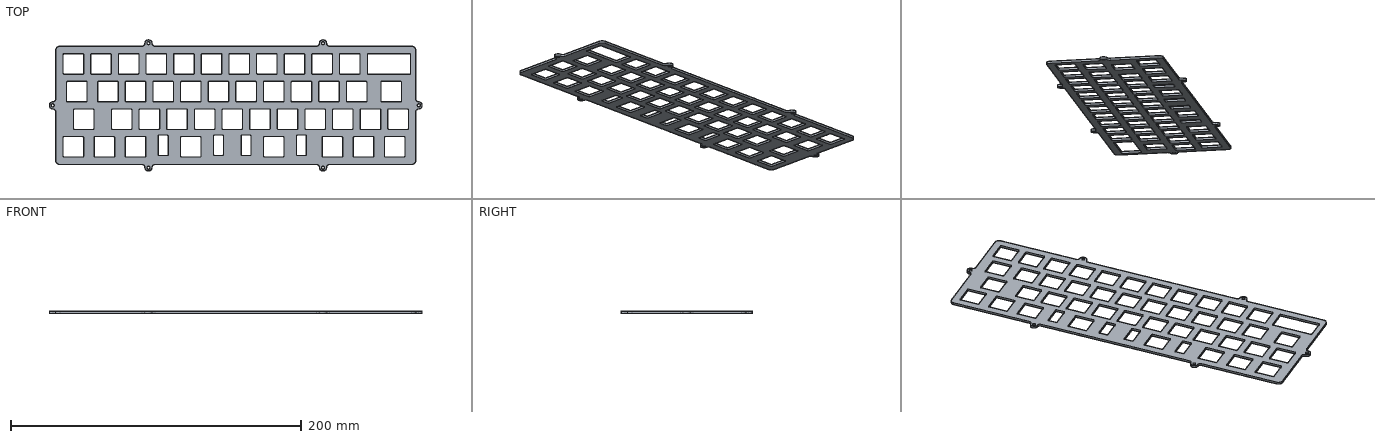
import cadquery as cq
import math

overall_length = 257.0
overall_width = 90.5
thickness = 1.6
tab_reach = 4.4
body_length = overall_length - 2 * tab_reach
body_width = overall_width - 2 * tab_reach
body_corner_radius = 3.0

tab_radius = 2.5
tab_root_radius = 1.8
tab_hole_diameter = 2.0
tab_hole_inset = 2.3
long_side_tab_offset = 60.2

key_pitch = 19.05
spacebar_width = 3
row_key_widths = [
    [1] * 11,
    [1.25] + [1] * 10 + [1.5],
    [1.75] + [1] * 11,
    [1, 1.25, 1, spacebar_width, spacebar_width, 1.25, 1, 1.25],
]
row_count = len(row_key_widths)
layout_length = sum(row_key_widths[-1]) * key_pitch

switch_opening = 14.0
opening_corner_radius = 0.5
end_opening_length = 29.5
end_opening_x = 105.7
stabilizer_opening_length = 6.7
stabilizer_opening_shift = 1.0
stabilizer_offset = key_pitch


def rim_points(inset):
    """Points on the six tab axes, at one distance in from the overall outline."""
    end_x = overall_length / 2 - inset
    side_y = overall_width / 2 - inset
    points = [(-end_x, 0), (end_x, 0)]
    for x in (-long_side_tab_offset, long_side_tab_offset):
        points += [(x, -side_y), (x, side_y)]
    return points


def tab_root_points():
    """Inner corners where the round tabs meet the straight sides of the body."""
    center_to_side = tab_reach - tab_radius
    half_chord = math.sqrt(tab_radius**2 - center_to_side**2)
    roots = []
    for x, y in rim_points(tab_reach):
        for offset in (-half_chord, half_chord):
            roots.append((x, offset) if y == 0 else (x + offset, y))
    return roots


def make_blank():
    """Rounded plate with screw tabs blended into its sides and drilled."""
    blank = cq.Workplane("XY").rect(body_length, body_width).extrude(thickness)
    blank = blank.edges("|Z").fillet(body_corner_radius)
    tabs = cq.Workplane("XY").pushPoints(rim_points(tab_radius)).circle(tab_radius).extrude(thickness)
    blank = blank.union(tabs)
    for x, y in tab_root_points():
        root_edge = cq.selectors.NearestToPointSelector((x, y, thickness / 2))
        blank = blank.edges("|Z").edges(root_edge).fillet(tab_root_radius)
    hole_points = rim_points(tab_hole_inset)
    holes = cq.Workplane("XY").pushPoints(hole_points).circle(tab_hole_diameter / 2).extrude(thickness)
    return blank.cut(holes)


def cut_opening(plate, x, y, length):
    """Cut a through opening of switch height with rounded corners."""
    cutter = cq.Workplane("XY").center(x, y).rect(length, switch_opening).extrude(thickness)
    return plate.cut(cutter.edges("|Z").fillet(opening_corner_radius))


def row_y(row):
    """Centre Y of a key row."""
    return ((row_count - 1) / 2 - row) * key_pitch


def cut_key_row(plate, row):
    """Cut the switch openings of one row and the stabilizer openings of its spacebars."""
    y = row_y(row)
    left = -layout_length / 2
    for width in row_key_widths[row]:
        x = left + width * key_pitch / 2
        plate = cut_opening(plate, x, y, switch_opening)
        if width == spacebar_width:
            for offset in (-stabilizer_offset, stabilizer_offset):
                stabilizer_y = y + stabilizer_opening_shift
                plate = cut_opening(plate, x + offset, stabilizer_y, stabilizer_opening_length)
        left += width * key_pitch
    return plate


result = make_blank()
for row in range(row_count):
    result = cut_key_row(result, row)
result = cut_opening(result, end_opening_x, row_y(0), end_opening_length)